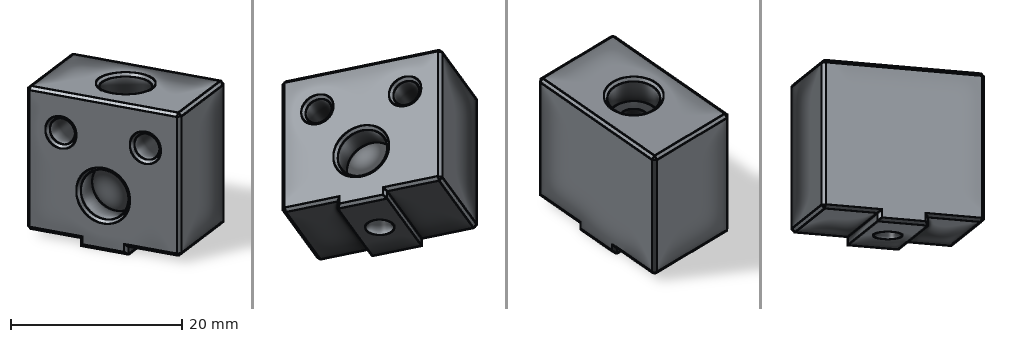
import cadquery as cq

LENGTH = 20.0
WIDTH = 12.0
BODY_HEIGHT = 18.0
KEY_WIDTH = 6.2
KEY_HEIGHT = 1.0
CHAMFER = 0.4

POCKET_DIAMETER = 6.2
POCKET_DEPTH = 3.4
FRONT_POCKET_BELOW_TOP = 12.0

BORE_DIAMETER = 3.4

SMALL_DIAMETER = 3.25
SMALL_DEPTH = 6.0
SMALL_SPACING = 11.0
SMALL_BELOW_TOP = 5.0

TOP_Z = BODY_HEIGHT
FRONT_Y = -WIDTH / 2
TOTAL_HEIGHT = BODY_HEIGHT + KEY_HEIGHT

FROM_TOP = cq.Vector(0, 0, -1)
FROM_FRONT = cq.Vector(0, 1, 0)


def make_block():
    """Box with a key below, chamfered on its four long Y edges and all round both end faces."""
    body = cq.Workplane("XY").box(LENGTH, WIDTH, BODY_HEIGHT, centered=(True, True, False))
    key = (
        cq.Workplane("XY")
        .workplane(offset=-KEY_HEIGHT)
        .box(KEY_WIDTH, WIDTH, KEY_HEIGHT, centered=(True, True, False))
    )
    block = body.union(key)
    end_outlines = block.faces("<Y or >Y").edges()
    long_edges = block.faces("<X or >X").edges("|Y")
    return end_outlines.add(long_edges).chamfer(CHAMFER)


def chamfered_hole(mouth, direction, diameter, depth):
    """Blind hole cutter: a flat-bottomed cylinder with a 45 degree cone at its mouth."""
    radius = diameter / 2
    cylinder = cq.Solid.makeCylinder(radius, depth, mouth, direction)
    cone = cq.Solid.makeCone(radius + CHAMFER, radius, CHAMFER, mouth, direction)
    return cylinder.fuse(cone)


def cut_top_pocket_and_bore(block):
    mouth = cq.Vector(0, 0, TOP_Z)
    pocket = chamfered_hole(mouth, FROM_TOP, POCKET_DIAMETER, POCKET_DEPTH)
    bore = cq.Solid.makeCylinder(BORE_DIAMETER / 2, TOTAL_HEIGHT, mouth, FROM_TOP)
    return block.cut(pocket).cut(bore)


def cut_front_pocket(block):
    mouth = cq.Vector(0, FRONT_Y, TOP_Z - FRONT_POCKET_BELOW_TOP)
    return block.cut(chamfered_hole(mouth, FROM_FRONT, POCKET_DIAMETER, POCKET_DEPTH))


def cut_small_holes(block):
    for side in (-1, 1):
        mouth = cq.Vector(side * SMALL_SPACING / 2, FRONT_Y, TOP_Z - SMALL_BELOW_TOP)
        block = block.cut(chamfered_hole(mouth, FROM_FRONT, SMALL_DIAMETER, SMALL_DEPTH))
    return block


result = make_block()
result = cut_top_pocket_and_bore(result)
result = cut_front_pocket(result)
result = cut_small_holes(result)